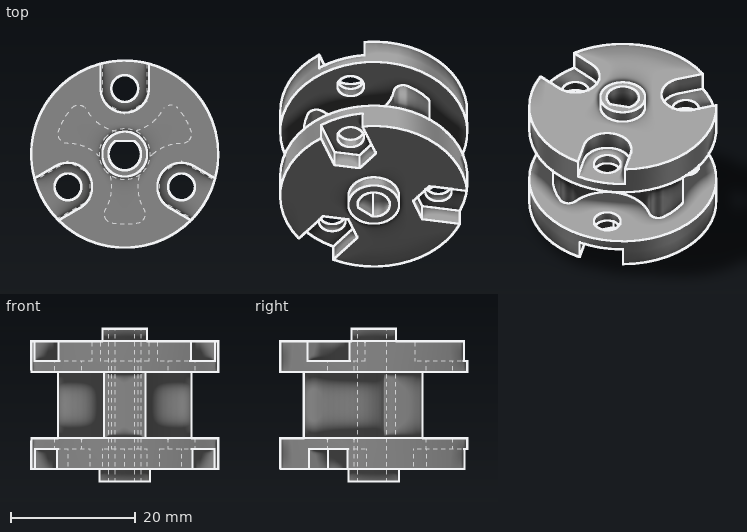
import cadquery as cq
import math

total_height = 24.5
flange_height = 4.95
boss_height = 2.0
core_height = total_height - 2 * (flange_height + boss_height)
core_bottom_z = -core_height / 2
core_top_z = core_height / 2
lower_face_z = core_bottom_z - flange_height
upper_face_z = core_top_z + flange_height

flange_diameter = 30
upper_boss_diameter = 7.2
lower_boss_diameter = 8.15
bore_diameter = 5.15
bore_flat_distance = 2.07

screw_circle_radius = 10.5
screw_angles = [90, 210, 330]
screw_hole_diameter = 4.25
pocket_depth = 3.18
head_slot_width = 7.75
nut_width = 7.1

core_diameter = 22.5
scallop_radius = 7.0
lobe_edge_radius = 1.5


def cylinder(diameter, bottom_z, height):
    return cq.Workplane("XY", origin=(0, 0, bottom_z)).circle(diameter / 2).extrude(height)


def at_screws(shape):
    """Copies a shape drawn around the +X axis to each screw angle."""
    copies = cq.Workplane("XY")
    for angle in screw_angles:
        copies = copies.add(shape.rotate((0, 0, 0), (0, 0, 1), angle))
    return copies.combine()


def screw_cylinders(diameter):
    """Full-height cylinders on the three screw axes."""
    shape = cylinder(diameter, -total_height / 2, total_height)
    return at_screws(shape.translate((screw_circle_radius, 0, 0)))


def slot_to_rim(width, bottom_z):
    """Straight channel from a screw axis out past the rim."""
    return (
        cq.Workplane("XY", origin=(screw_circle_radius, 0, bottom_z))
        .box(flange_diameter, width, pocket_depth, centered=(False, True, False))
    )


def head_slots():
    """Round-ended slots for the screw heads, open at the rim."""
    bottom_z = upper_face_z - pocket_depth
    round_end = cylinder(head_slot_width, bottom_z, pocket_depth).translate((screw_circle_radius, 0, 0))
    return at_screws(slot_to_rim(head_slot_width, bottom_z).union(round_end))


def nut_slots():
    """Slots with a hexagonal inner end for the nuts, open at the rim."""
    nut_corner_diameter = nut_width / math.cos(math.pi / 6)
    hexagon = (
        cq.Workplane("XY", origin=(screw_circle_radius, 0, lower_face_z))
        .polygon(6, nut_corner_diameter)
        .extrude(pocket_depth)
    )
    return at_screws(slot_to_rim(nut_width, lower_face_z).union(hexagon))


def d_bore():
    """Through bore with one flat on its +Y side."""
    bore = cylinder(bore_diameter, -total_height / 2, total_height)
    flat_side = cq.Workplane("XY").box(bore_diameter, bore_diameter, total_height)
    return bore.cut(flat_side.translate((0, bore_flat_distance + bore_diameter / 2, 0)))


def lobed_core():
    """Cylinder scalloped around the screws, with rounded lobe edges."""
    core = cylinder(core_diameter, core_bottom_z, core_height)
    core = core.cut(screw_cylinders(2 * scallop_radius))
    return core.edges("|Z").fillet(lobe_edge_radius)


def upper_flange():
    flange = cylinder(flange_diameter, core_top_z, flange_height)
    flange = flange.union(cylinder(upper_boss_diameter, upper_face_z, boss_height))
    return flange.cut(head_slots()).cut(screw_cylinders(screw_hole_diameter)).cut(d_bore())


def lower_spool():
    """Lower flange in one piece with the core that carries the upper flange."""
    spool = cylinder(flange_diameter, lower_face_z, flange_height)
    spool = spool.union(cylinder(lower_boss_diameter, lower_face_z - boss_height, boss_height))
    spool = spool.union(lobed_core())
    return spool.cut(nut_slots()).cut(screw_cylinders(screw_hole_diameter)).cut(d_bore())


result = cq.Compound.makeCompound([upper_flange().val(), lower_spool().val()])